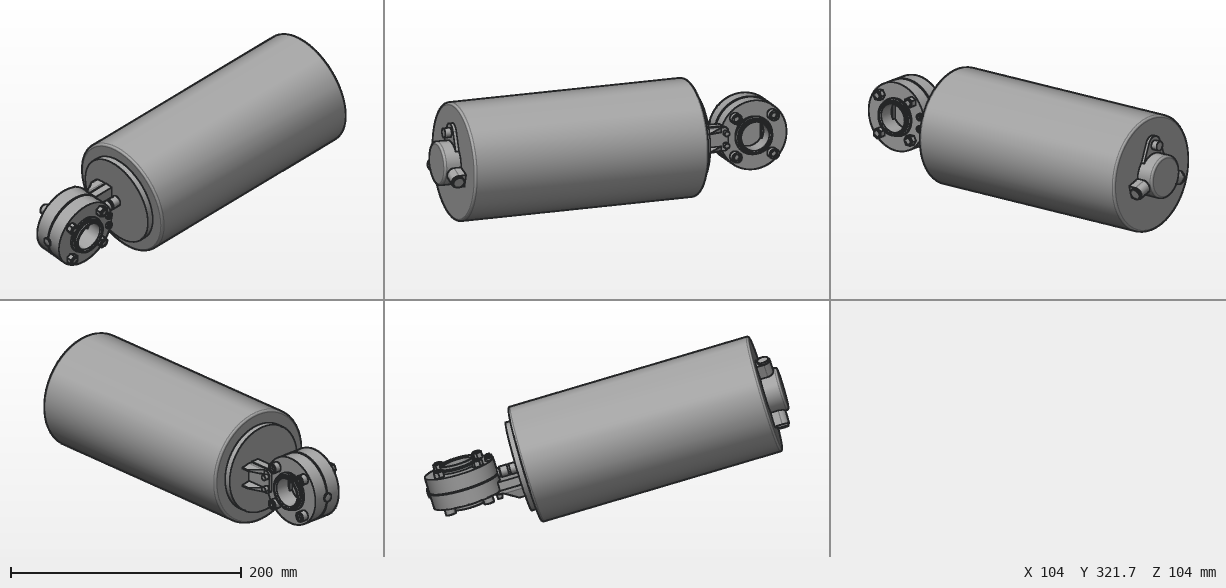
import cadquery as cq
import math


valve_radius = 31.0
half_width = 14.0
rim_chamfer = 0.5
bore_radius = 13.0
bore_lip_chamfer = 1.2
hub_radius = 17.0
hub_end = 16.0
relief_radius = 15.0
relief_end = 17.2
neck_radius = 15.6
neck_end = 20.0

bolt_offset = 17.3
bolt_radius = 3.0
bolt_head_radius = 4.5
bolt_head_height = 6.0
bolt_socket_width = 5.5
bolt_socket_depth = 2.5
bolt_nut_width = 8.2
bolt_nut_height = 5.0
bolt_tip = 1.0

disc_thickness = 4.0
disc_boss_thickness = 10.0
disc_boss_start = 11.2
stem_radius = 3.85
stem_tip_y = -32.65
stem_dome_height = 0.5
coupling_radius = 4.8
coupling_start_y = 33.0
coupling_chamfer = 0.6
coupling_seam_y = 42.2
seam_neck_radius = 4.6
seam_neck_length = 1.8

tube_radius = 52.0
tube_start_y = 55.65
tube_end_y = 273.4
tube_edge_fillet = 2.0
front_plate_radius = 40.0
front_plate_y = 49.9
cap_radius = 19.2
cap_end_y = 289.0
cap_edge_fillet = 2.0
port_angle = 18.0
port_radius = 6.0
port_axis_height = 6.7
port_reach = 30.7
plug_radius = 5.0
plug_length = 2.0
pad_lobe_radius = 7.9
pad_side_lean = 22.0
pad_thickness = 3.1
pad_bottom_z = 11.8
connector_radius = 4.2
connector_z = 26.8
connector_height = 8.9

bracket_block_half_height = 11.2
bracket_plate_half_height = 10.5
bracket_plate_thickness = 3.0
bracket_inner_x = -6.3
bracket_end_y = 24.3
bracket_corner_radius = 3.5
rib_outer_x = -25.0
rib_root_thickness = 4.2
rib_tip_thickness = 1.0
rib_centre_z = 8.4
rib_straight_length = 6.8
rib_end_y = 30.8
screw_y = 27.0
screw_z = 5.5
screw_radius = 1.5
screw_head_radius = 2.3
screw_head_height = 4.2
screw_nut_radius = 3.0
screw_nut_height = 2.0
screw_tip = 1.2


def rod_x(start_x, end_x, radius, y=0.0, z=0.0):
    """Cylinder along X between two X positions."""
    return cq.Workplane("YZ", origin=(start_x, y, z)).circle(radius).extrude(end_x - start_x)


def rod_y(start_y, end_y, radius, z=0.0):
    """Cylinder along Y between two Y positions."""
    return cq.Workplane("XZ", origin=(0, start_y, z)).circle(radius).extrude(start_y - end_y)


def hexagon_x(start_x, end_x, across_flats, y, z):
    """Hexagonal prism along X, turned with its corner of the bolt pattern."""
    across_corners = across_flats / math.cos(math.radians(30))
    turn = 90 if y * z > 0 else 0
    plane = cq.Workplane("YZ", origin=(start_x, y, z)).transformed(rotate=(0, 0, turn))
    return plane.polygon(6, across_corners).extrude(end_x - start_x)


def box_between(corner, opposite):
    """Axis-aligned box between two opposite corners."""
    sizes = [b - a for a, b in zip(corner, opposite)]
    return cq.Workplane("XY", origin=corner).box(*sizes, centered=False)


bolt_positions = [(sy * bolt_offset, sz * bolt_offset) for sy in (-1, 1) for sz in (-1, 1)]
screw_heights = (-screw_z, screw_z)
bracket_face_x = -half_width - bracket_plate_thickness


def make_disc_stem():
    disc = rod_x(-disc_thickness / 2, disc_thickness / 2, bore_radius)
    bosses = rod_x(-disc_boss_thickness / 2, disc_boss_thickness / 2, bore_radius)
    between_bosses = cq.Workplane("XY").box(
        disc_boss_thickness, 2 * disc_boss_start, 2 * bore_radius
    )
    stem = rod_y(stem_tip_y + stem_dome_height, coupling_start_y, stem_radius)
    dome = (
        cq.Workplane("XY")
        .moveTo(0, stem_tip_y)
        .threePointArc(
            (stem_radius / 2, stem_tip_y + stem_dome_height / 4),
            (stem_radius, stem_tip_y + stem_dome_height),
        )
        .lineTo(0, stem_tip_y + stem_dome_height)
        .close()
        .revolve(360, (0, 0, 0), (0, 1, 0))
    )
    neck_start_y = coupling_seam_y - seam_neck_length
    coupling = rod_y(coupling_start_y, neck_start_y, coupling_radius)
    coupling = coupling.faces("<Y").chamfer(coupling_chamfer)
    seam_neck = rod_y(neck_start_y, coupling_seam_y, seam_neck_radius)
    disc = disc.union(bosses.union(stem).cut(between_bosses))
    return disc.union(dome).union(coupling).union(seam_neck)


def make_blank_half():
    """Revolved half on the +X side, with its stem groove."""
    profile = [
        (0, bore_radius),
        (0, valve_radius - rim_chamfer),
        (rim_chamfer, valve_radius),
        (half_width, valve_radius),
        (half_width, hub_radius),
        (hub_end, hub_radius),
        (hub_end, relief_radius),
        (relief_end, relief_radius),
        (relief_end, neck_radius),
        (neck_end, neck_radius),
        (neck_end, bore_radius + bore_lip_chamfer),
        (neck_end - bore_lip_chamfer, bore_radius),
    ]
    half = cq.Workplane("XY").polyline(profile).close().revolve(360, (0, 0, 0), (1, 0, 0))
    return half.cut(rod_y(-valve_radius, valve_radius, stem_radius))


def make_head_half():
    """-X half with the bolt heads."""
    half = make_blank_half().mirror("YZ")
    head_x = -half_width - bolt_head_height
    for y, z in bolt_positions:
        half = half.union(rod_x(head_x, -half_width, bolt_head_radius, y, z))
        half = half.cut(hexagon_x(head_x, head_x + bolt_socket_depth, bolt_socket_width, y, z))
    return half


def make_nut_half():
    """+X half with the bolt nuts and the nuts of the bracket screws."""
    half = make_blank_half()
    nut_x = half_width + bolt_nut_height
    for y, z in bolt_positions:
        half = half.union(hexagon_x(half_width, nut_x, bolt_nut_width, y, z))
        half = half.union(rod_x(nut_x, nut_x + bolt_tip, bolt_radius, y, z))
    screw_nut_x = half_width + screw_nut_height
    for z in screw_heights:
        half = half.union(rod_x(half_width, screw_nut_x, screw_nut_radius, screw_y, z))
        half = half.union(rod_x(screw_nut_x, screw_nut_x + screw_tip, screw_radius, screw_y, z))
    return half


def make_rib():
    """Stiffening rib, cut back towards the valve and thinning towards its outer edge."""
    outline = [
        (bracket_face_x, front_plate_y),
        (rib_outer_x, front_plate_y),
        (rib_outer_x, front_plate_y - rib_straight_length),
        (bracket_face_x, rib_end_y),
    ]
    section = [
        (bracket_face_x, -rib_root_thickness / 2),
        (bracket_face_x, rib_root_thickness / 2),
        (rib_outer_x, rib_tip_thickness / 2),
        (rib_outer_x, -rib_tip_thickness / 2),
    ]
    tapered_bar = (
        cq.Workplane("XZ", origin=(0, front_plate_y, 0))
        .polyline(section)
        .close()
        .extrude(front_plate_y - rib_end_y)
    )
    side_plate = cq.Workplane("XY").polyline(outline).close().extrude(rib_root_thickness, both=True)
    return tapered_bar.intersect(side_plate)


def make_bracket():
    plate = box_between(
        (bracket_face_x, bracket_end_y, -bracket_plate_half_height),
        (-half_width, front_plate_y, bracket_plate_half_height),
    )
    plate = plate.edges("|X and <Y").fillet(bracket_corner_radius)
    block = box_between(
        (-half_width, bracket_end_y, -bracket_block_half_height),
        (bracket_inner_x, front_plate_y, bracket_block_half_height),
    )
    block = block.cut(rod_x(-half_width, half_width, valve_radius))
    bracket = plate.union(block)
    for rib_z in (-rib_centre_z, rib_centre_z):
        bracket = bracket.union(make_rib().translate((0, 0, rib_z)))
    for z in screw_heights:
        head_x = bracket_face_x - screw_head_height
        bracket = bracket.union(rod_x(head_x, bracket_face_x, screw_head_radius, screw_y, z))
    return bracket


def make_port():
    """Port arm along +X with a rounded back and a round plug at its end."""
    axis_y = tube_end_y + port_axis_height
    arm = rod_x(0, port_reach, port_radius, axis_y)
    arm = arm.union(
        box_between((0, tube_end_y, -port_radius), (port_reach, axis_y, port_radius))
    )
    return arm.union(rod_x(port_reach, port_reach + plug_length, plug_radius, axis_y))


def make_connector():
    """Pad with a rounded top and leaning sides, carrying a round connector."""
    lean = math.radians(pad_side_lean)
    shoulder_x = pad_lobe_radius * math.cos(lean)
    shoulder_z = connector_z + pad_lobe_radius * math.sin(lean)
    pad_half_width = shoulder_x + (shoulder_z - pad_bottom_z) * math.tan(lean)
    pad = (
        cq.Workplane("XZ", origin=(0, tube_end_y, 0))
        .moveTo(-pad_half_width, pad_bottom_z)
        .lineTo(pad_half_width, pad_bottom_z)
        .lineTo(shoulder_x, shoulder_z)
        .threePointArc((0, connector_z + pad_lobe_radius), (-shoulder_x, shoulder_z))
        .close()
        .extrude(-pad_thickness)
    )
    return pad.union(
        rod_y(tube_end_y, tube_end_y + connector_height, connector_radius, z=connector_z)
    )


def make_actuator():
    actuator = rod_y(tube_start_y, tube_end_y, tube_radius)
    actuator = actuator.faces("<Y or >Y").edges().fillet(tube_edge_fillet)
    cap = rod_y(tube_end_y, cap_end_y, cap_radius).faces(">Y").edges().fillet(cap_edge_fillet)
    port = make_port().rotate((0, 0, 0), (0, 1, 0), port_angle)
    actuator = actuator.union(cap).union(port).union(port.mirror("YZ")).union(make_connector())
    actuator = actuator.union(rod_y(front_plate_y, tube_start_y, front_plate_radius))
    return actuator.union(rod_y(coupling_seam_y, front_plate_y, coupling_radius))


disc_stem = make_disc_stem()
head_half = make_head_half().cut(disc_stem)
nut_half = make_nut_half().cut(disc_stem)
bracket = make_bracket()
actuator = make_actuator()

result = cq.Compound.makeCompound(
    [actuator.val(), bracket.val(), head_half.val(), nut_half.val(), disc_stem.val()]
)